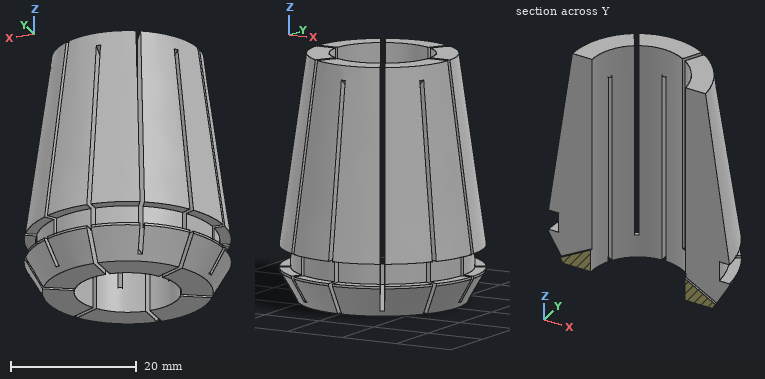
import cadquery as cq
import math

length = 40.0
max_radius = 16.5
bore_radius = 8.5

taper_half_angle = 8.0
taper_bottom = 9.0
top_radius = max_radius - (length - taper_bottom) * math.tan(math.radians(taper_half_angle))

groove_radius = 14.65
groove_bottom = 5.4
nose_half_angle = 30.0
nose_bottom_radius = 13.6
nose_top = (max_radius - nose_bottom_radius) / math.tan(math.radians(nose_half_angle))

slot_width = 0.7
slots_per_end = 6
slot_pitch = 360.0 / slots_per_end
overshoot = 2.0

top_slot_outer_end = 1.0
top_slot_bore_end = 4.2
bottom_slot_outer_end = 37.7
bottom_slot_bore_end = 34.8


def nose_radius_at(z):
    return nose_bottom_radius + z * math.tan(math.radians(nose_half_angle))


def taper_radius_at(z):
    return top_radius + (length - z) * math.tan(math.radians(taper_half_angle))


def collet_body():
    """Revolve the sleeve wall about the Z axis."""
    wall = [
        (bore_radius, 0),
        (nose_bottom_radius, 0),
        (max_radius, nose_top),
        (max_radius, groove_bottom),
        (groove_radius, groove_bottom),
        (groove_radius, taper_bottom),
        (max_radius, taper_bottom),
        (top_radius, length),
        (bore_radius, length),
    ]
    return cq.Workplane("XZ").polyline(wall).close().revolve(360, (0, 0), (0, 1))


def slot_cutter(bore_end, outer_end, outer_end_radius, open_end):
    """Slot along +X running from its sloped closed end out through open_end."""
    slope = (outer_end - bore_end) / (outer_end_radius - bore_radius)
    inner = bore_radius - overshoot
    outer = max_radius + overshoot
    outline = [
        (inner, bore_end + slope * (inner - bore_radius)),
        (outer, bore_end + slope * (outer - bore_radius)),
        (outer, open_end),
        (inner, open_end),
    ]
    return cq.Workplane("XZ").polyline(outline).close().extrude(slot_width / 2, both=True)


top_slot = slot_cutter(
    top_slot_bore_end, top_slot_outer_end, nose_radius_at(top_slot_outer_end), length + overshoot
)
bottom_slot = slot_cutter(
    bottom_slot_bore_end, bottom_slot_outer_end, taper_radius_at(bottom_slot_outer_end), -overshoot
)

result = collet_body()
for i in range(slots_per_end):
    top_slot_angle = i * slot_pitch
    bottom_slot_angle = top_slot_angle + slot_pitch / 2
    result = result.cut(top_slot.rotate((0, 0, 0), (0, 0, 1), top_slot_angle))
    result = result.cut(bottom_slot.rotate((0, 0, 0), (0, 0, 1), bottom_slot_angle))